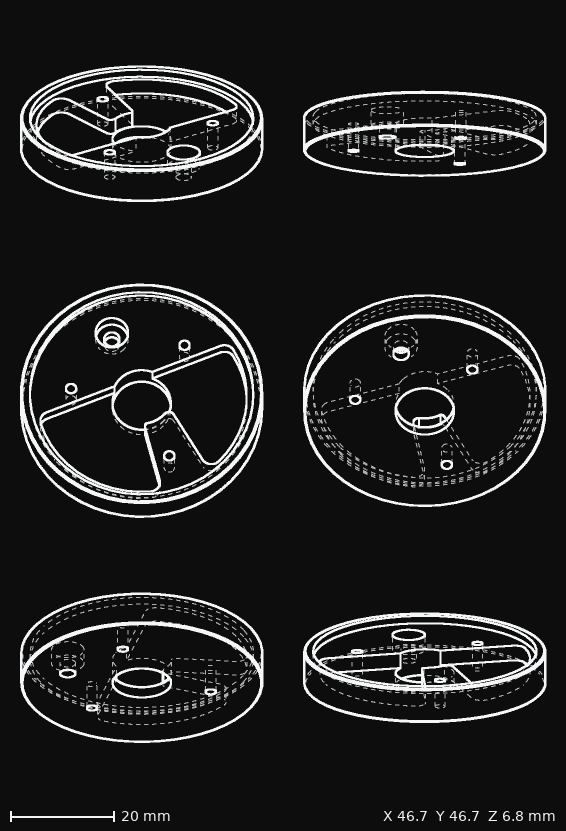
import cadquery as cq
import math

outer_radius = 23.35
height = 6.8
rim_chamfer = 0.25

recess_radius = 21.6
recess_depth = 1.5
recess_floor_z = height - recess_depth
pocket_depth = 3.0
pocket_floor_z = recess_floor_z - pocket_depth

bore_radius = 5.65

pocket_radius = 20.36
pocket_wall_x = 4.05
pocket_corner_radius = 2.0
upper_arc_middle_angle = 135
lower_arc_middle_angle = 225

upper_tip_x = -5.6
upper_tip_y = 1.87
upper_side_angle = 8.6
lower_tip_x = -4.9
lower_tip_y = -4.1
lower_side_angle = 7.1
tongue_tip_radius = 1.0
tongue_bore_clearance = 0.12

small_hole_diameter = 2.0
small_hole_circle_radius = 13.75
small_hole_count = 3
first_small_hole_angle = 60

screw_hole_x = 14.8
screw_hole_diameter = 3.0
counterbore_diameter = 6.3
counterbore_depth = 3.0


def polar_point(radius, degrees):
    """Point at the given radius and angle around the disc axis."""
    angle = math.radians(degrees)
    return (radius * math.cos(angle), radius * math.sin(angle))


def tongue_root(tip_x, tip_y, degrees):
    """Point where a tongue side, leaving its tip at the given angle, meets the pocket arc."""
    angle = math.radians(degrees)
    along = tip_x * math.cos(angle) + tip_y * math.sin(angle)
    length = -along + math.sqrt(along**2 + pocket_radius**2 - tip_x**2 - tip_y**2)
    return (tip_x + length * math.cos(angle), tip_y + length * math.sin(angle))


def make_body():
    """Chamfered disc with a shallow round recess in its top face."""
    disc = cq.Workplane("XY").circle(outer_radius).extrude(height)
    disc = disc.faces("<Z or >Z").edges().chamfer(rim_chamfer)
    recess = cq.Workplane("XY").workplane(offset=recess_floor_z).circle(recess_radius).extrude(recess_depth)
    return disc.cut(recess)


def make_pocket():
    """Volume of the pocket that surrounds the tongue, with rounded corners."""
    wall_end_y = math.sqrt(pocket_radius**2 - pocket_wall_x**2)
    upper_root = tongue_root(upper_tip_x, upper_tip_y, 180 - upper_side_angle)
    lower_root = tongue_root(lower_tip_x, lower_tip_y, 180 + lower_side_angle)
    pocket = (
        cq.Workplane("XY")
        .workplane(offset=pocket_floor_z)
        .moveTo(pocket_wall_x, wall_end_y)
        .lineTo(pocket_wall_x, -wall_end_y)
        .threePointArc(polar_point(pocket_radius, lower_arc_middle_angle), lower_root)
        .lineTo(lower_tip_x, lower_tip_y)
        .lineTo(upper_tip_x, upper_tip_y)
        .lineTo(*upper_root)
        .threePointArc(polar_point(pocket_radius, upper_arc_middle_angle), (pocket_wall_x, wall_end_y))
        .close()
        .extrude(pocket_depth)
    )
    tongue_tips = cq.selectors.BoxSelector(
        (-recess_radius / 2, -recess_radius / 2, 0),
        (0, recess_radius / 2, height),
    )
    pocket = pocket.edges("|Z").edges(tongue_tips).fillet(tongue_tip_radius)
    for corner in (upper_root, lower_root, (pocket_wall_x, wall_end_y), (pocket_wall_x, -wall_end_y)):
        nearest = cq.selectors.NearestToPointSelector((*corner, pocket_floor_z + pocket_depth / 2))
        pocket = pocket.edges("|Z").edges(nearest).fillet(pocket_corner_radius)
    return pocket


def make_tongue_relief():
    """Half disc that sets the concave tongue tip slightly back from the bore."""
    relief_radius = bore_radius + tongue_bore_clearance
    return (
        cq.Workplane("XY")
        .workplane(offset=pocket_floor_z)
        .moveTo(0, relief_radius)
        .threePointArc((-relief_radius, 0), (0, -relief_radius))
        .close()
        .extrude(pocket_depth)
    )


def cut_holes(part):
    """Cut the bore, the three small holes and the counterbored hole through the disc."""
    floor = cq.Workplane("XY").workplane(offset=recess_floor_z)
    bore = floor.circle(bore_radius).extrude(-recess_floor_z)
    small_holes = (
        floor.polarArray(small_hole_circle_radius, first_small_hole_angle, 360, small_hole_count)
        .circle(small_hole_diameter / 2)
        .extrude(-recess_floor_z)
    )
    screw_centre = floor.center(screw_hole_x, 0)
    screw_hole = screw_centre.circle(screw_hole_diameter / 2).extrude(-recess_floor_z)
    counterbore = screw_centre.circle(counterbore_diameter / 2).extrude(-counterbore_depth)
    return part.cut(bore).cut(small_holes).cut(screw_hole).cut(counterbore)


result = cut_holes(make_body().cut(make_pocket()).cut(make_tongue_relief()))